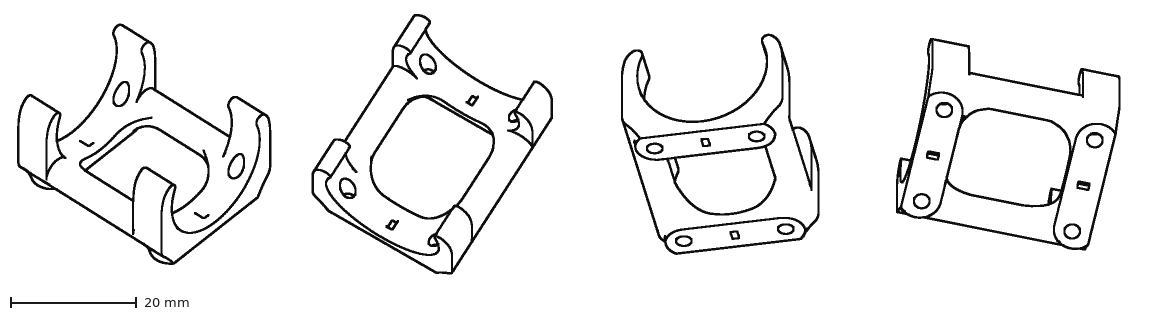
import cadquery as cq
import math

LENGTH = 30.5
WIDTH = 26.0
HEIGHT = 17.8

CLIP_WIDTH = 6.0
BORE_RADIUS = 10.5
BORE_HEIGHT = 12.5
TIP_RADIUS = 1.0
SHOULDER_RADIUS = 3.5

BAR_RADIUS = 2.5

SCREW_OFFSET = 8.25
SCREW_DIAMETER = 2.5
FOOT_RADIUS = 3.4
FOOT_LENGTH = 22.5
BLEND_RADIUS = 5.0

WINDOW_LENGTH = 1.8
WINDOW_WIDTH = 1.1
WINDOW_CORNER_RADIUS = 0.1
WINDOW_RIM_RADIUS = 0.5

OUTER_RADIUS = WIDTH / 2
BAR_OFFSET = OUTER_RADIUS - BAR_RADIUS
BAR_TO_BORE = BORE_RADIUS + BAR_RADIUS
BAR_DROP = math.sqrt(BAR_TO_BORE**2 - BAR_OFFSET**2)
BAR_HEIGHT = BORE_HEIGHT - BAR_DROP
FOOT_TOP = BORE_HEIGHT - BAR_DROP * BORE_RADIUS / BAR_TO_BORE
CLIP_CENTRE = (LENGTH - CLIP_WIDTH) / 2
FOOT_CENTRE = LENGTH / 2 - CLIP_WIDTH + FOOT_RADIUS
OVERRUN = 2 * BLEND_RADIUS


def polar(centre, radius, angle):
    """Point at an angle (radians) on a circle in the YZ plane."""
    return (centre[0] + radius * math.cos(angle), centre[1] + radius * math.sin(angle))


def direction(start, end):
    """Angle (radians) of the line from start to end."""
    return math.atan2(end[1] - start[1], end[0] - start[0])


def bar(length):
    """Round bar along X on the +Y side, centred on the middle plane."""
    return (
        cq.Workplane("YZ", origin=(-length / 2, 0, 0))
        .center(BAR_OFFSET, BAR_HEIGHT)
        .circle(BAR_RADIUS)
        .extrude(length)
    )


def bore():
    """Cylinder that the clips wrap around, longer than the part."""
    return (
        cq.Workplane("YZ", origin=(-LENGTH, 0, 0))
        .center(0, BORE_HEIGHT)
        .circle(BORE_RADIUS)
        .extrude(2 * LENGTH)
    )


def foot():
    """Foot at the +X, +Y corner: a round-ended pad blended into the bar and trimmed."""
    pad = (
        cq.Workplane("XY", origin=(FOOT_CENTRE, 0, 0))
        .slot2D(FOOT_LENGTH, 2 * FOOT_RADIUS, 90)
        .extrude(BAR_HEIGHT + OVERRUN)
    )
    overlong_bar = bar(LENGTH + 2 * OVERRUN)
    bar_diameter = 2 * BAR_RADIUS
    lowest_joint = (BAR_HEIGHT - BAR_RADIUS) / 2
    joint_zone = cq.selectors.BoxSelector(
        (FOOT_CENTRE - CLIP_WIDTH, BAR_OFFSET - bar_diameter, lowest_joint),
        (FOOT_CENTRE + CLIP_WIDTH, BAR_OFFSET + bar_diameter, BAR_HEIGHT + bar_diameter),
    )
    blended = pad.union(overlong_bar).edges(joint_zone).fillet(BLEND_RADIUS)
    quarter = cq.Workplane("XY").box(LENGTH / 2, OUTER_RADIUS, FOOT_TOP, centered=False)
    return blended.intersect(quarter).cut(bore())


def clip_arm():
    """Arm at the +X, +Y corner, rising from the bar and curling around the bore."""
    bore_centre = (0, BORE_HEIGHT)
    tip_height = HEIGHT - TIP_RADIUS
    tip_angle = math.asin((tip_height - BORE_HEIGHT) / (BORE_RADIUS + TIP_RADIUS))
    tip_centre = polar(bore_centre, BORE_RADIUS + TIP_RADIUS, tip_angle)

    to_tip = BORE_RADIUS + TIP_RADIUS
    to_shoulder = OUTER_RADIUS - SHOULDER_RADIUS
    tip_to_shoulder = SHOULDER_RADIUS - TIP_RADIUS
    cosine = (to_shoulder**2 + to_tip**2 - tip_to_shoulder**2) / (2 * to_shoulder * to_tip)
    shoulder_angle = tip_angle - math.acos(cosine)
    shoulder_centre = polar(bore_centre, to_shoulder, shoulder_angle)
    crown_angle = direction(shoulder_centre, tip_centre)

    bar_angle = direction(bore_centre, (BAR_OFFSET, BAR_HEIGHT))
    back_start = (OUTER_RADIUS, BAR_HEIGHT)
    back_end = (OUTER_RADIUS, BORE_HEIGHT)
    inside_tip = tip_angle + math.pi
    tip_middle = (crown_angle + inside_tip) / 2
    return (
        cq.Workplane("YZ", origin=(LENGTH / 2 - CLIP_WIDTH, 0, 0))
        .moveTo(BAR_OFFSET, BAR_HEIGHT)
        .lineTo(*back_start)
        .lineTo(*back_end)
        .threePointArc(
            polar(bore_centre, OUTER_RADIUS, shoulder_angle / 2),
            polar(bore_centre, OUTER_RADIUS, shoulder_angle),
        )
        .threePointArc(
            polar(shoulder_centre, SHOULDER_RADIUS, (shoulder_angle + crown_angle) / 2),
            polar(tip_centre, TIP_RADIUS, crown_angle),
        )
        .threePointArc(
            polar(tip_centre, TIP_RADIUS, tip_middle),
            polar(tip_centre, TIP_RADIUS, inside_tip),
        )
        .threePointArc(
            polar(bore_centre, BORE_RADIUS, (tip_angle + bar_angle) / 2),
            polar(bore_centre, BORE_RADIUS, bar_angle),
        )
        .close()
        .extrude(CLIP_WIDTH)
    )


def screw_hole():
    """Upright screw hole through the foot at the +X, +Y corner."""
    return (
        cq.Workplane("XY", origin=(CLIP_CENTRE, SCREW_OFFSET, 0))
        .circle(SCREW_DIAMETER / 2)
        .extrude(BORE_HEIGHT)
    )


def cut_windows(body):
    """Cut the window in each clip floor and round its upper rim."""
    windows = (
        cq.Workplane("XY")
        .pushPoints([(-CLIP_CENTRE, 0), (CLIP_CENTRE, 0)])
        .rect(WINDOW_LENGTH, WINDOW_WIDTH)
        .extrude(BORE_HEIGHT)
        .edges("|Z")
        .fillet(WINDOW_CORNER_RADIUS)
    )
    body = body.cut(windows)
    floor_height = BORE_HEIGHT - BORE_RADIUS
    rim_reach = WINDOW_LENGTH / 2 + WINDOW_CORNER_RADIUS
    for x in (-CLIP_CENTRE, CLIP_CENTRE):
        rim = cq.selectors.BoxSelector(
            (x - rim_reach, -WINDOW_WIDTH, floor_height - WINDOW_CORNER_RADIUS),
            (x + rim_reach, WINDOW_WIDTH, floor_height + WINDOW_CORNER_RADIUS),
        )
        body = body.edges(rim).fillet(WINDOW_RIM_RADIUS)
    return body


half_bar = bar(LENGTH).intersect(
    cq.Workplane("XY").box(LENGTH / 2, WIDTH, HEIGHT, centered=False)
)
corner = foot().union(clip_arm()).union(half_bar).cut(screw_hole())
side = corner.union(corner.mirror("XZ"))
body = side.union(side.mirror("YZ"))
result = cut_windows(body)